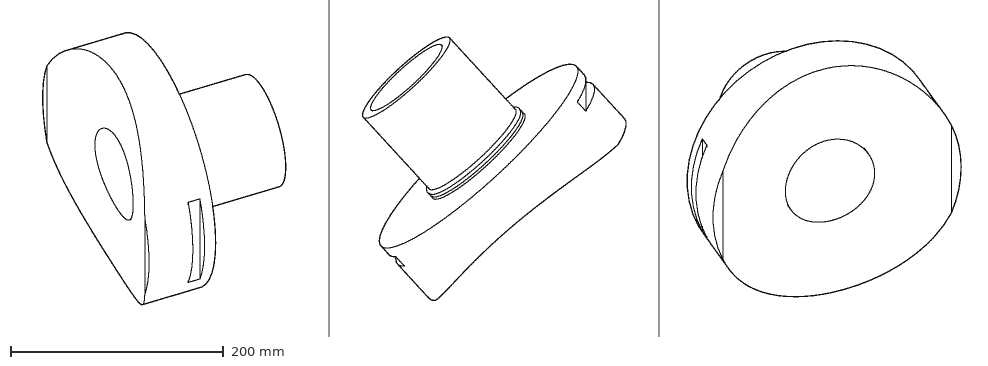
import cadquery as cq
import math

disc_diameter = 250.0
disc_thickness = 68.5
disc_front_y = -disc_thickness

saddle_half_width = 115.0
saddle_depth = 22.0

side_groove_floor_span = 228.0
side_groove_width = 12.0
side_groove_offset = 11.5

overall_length = 171.0
tube_length = overall_length - disc_thickness
tube_diameter = 110.5
bore_diameter = 90.0

bead_count = 2
bead_radius = 2.0
bead_pitch = 3.2
bead_center_radius = 56.6
collar_length = 9.0
hollow_outer_radius = 58.7
hollow_sag = 0.2


def cylinder_along_y(diameter, start_y, length):
    """Cylinder centred on the Y axis, from start_y toward +Y."""
    base = cq.Workplane("XZ", origin=(0, start_y, 0))
    return base.circle(diameter / 2).extrude(-length)


def saddle_cutter():
    """Circular segment in the XY plane, extended over the full disc height."""
    segment = (
        cq.Workplane("XY")
        .moveTo(-saddle_half_width, disc_front_y)
        .threePointArc((0, disc_front_y + saddle_depth), (saddle_half_width, disc_front_y))
        .close()
    )
    return segment.extrude(disc_diameter / 2, both=True)


def side_groove_cutter(side):
    """Box outside the groove floor on the side given by +1 or -1 along X."""
    depth = (disc_diameter - side_groove_floor_span) / 2
    center_x = side * (side_groove_floor_span + depth) / 2
    center_y = -side_groove_offset - side_groove_width / 2
    box = cq.Workplane("XY").box(depth, side_groove_width, disc_diameter)
    return box.translate((center_x, center_y, 0))


def bead_point(center_y, angle):
    """Point on a bead at an angle in degrees from its crest, positive toward +Y."""
    turn = math.radians(angle)
    return (
        bead_center_radius + bead_radius * math.cos(turn),
        center_y + bead_radius * math.sin(turn),
    )


def beaded_collar():
    """Hollow and beads, with sharp valleys between them, revolved about the Y axis."""
    valley_angle = math.degrees(math.asin(bead_pitch / 2 / bead_radius))
    last_center_y = collar_length - bead_radius
    first_center_y = last_center_y - (bead_count - 1) * bead_pitch

    valley_radius, valley_y = bead_point(first_center_y, -valley_angle)
    chord_rise = hollow_outer_radius - valley_radius
    chord_length = math.hypot(chord_rise, valley_y)
    hollow_middle = (
        (hollow_outer_radius + valley_radius) / 2 - hollow_sag * valley_y / chord_length,
        valley_y / 2 - hollow_sag * chord_rise / chord_length,
    )
    profile = cq.Workplane("XY").moveTo(0, 0).lineTo(hollow_outer_radius, 0)
    profile = profile.threePointArc(hollow_middle, (valley_radius, valley_y))

    for i in range(bead_count):
        center_y = first_center_y + i * bead_pitch
        end_angle = 90 if i == bead_count - 1 else valley_angle
        profile = profile.threePointArc(bead_point(center_y, -valley_angle / 2), bead_point(center_y, 0))
        profile = profile.threePointArc(bead_point(center_y, end_angle / 2), bead_point(center_y, end_angle))

    profile = profile.lineTo(0, collar_length).close()
    return profile.revolve(360, (0, 0, 0), (0, 1, 0))


disc = cylinder_along_y(disc_diameter, disc_front_y, disc_thickness).cut(saddle_cutter())
for side in (-1, 1):
    disc = disc.cut(side_groove_cutter(side))

tube = cylinder_along_y(tube_diameter, 0, tube_length)
bore = cylinder_along_y(bore_diameter, disc_front_y, overall_length)

result = disc.union(tube).union(beaded_collar()).cut(bore)